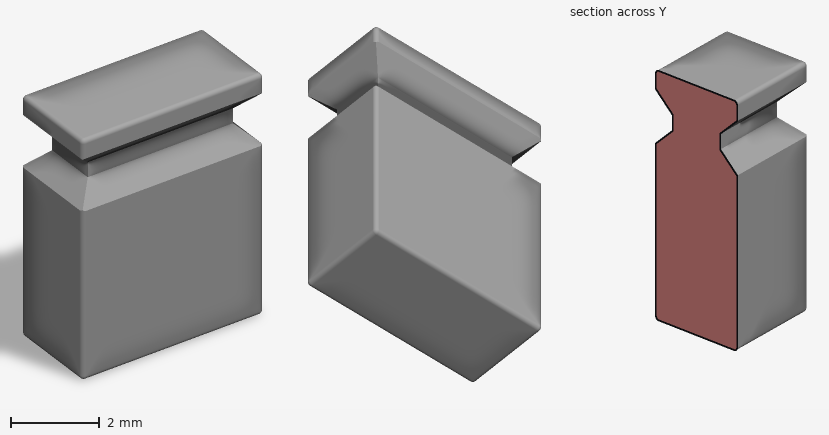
import cadquery as cq

width = 2.4
depth = 5.0
height = 6.4
edge_radius = 0.1

lip_height = 0.5
groove_depth = 0.5
neck_height = 0.4

groove_top = height - lip_height
neck_top = groove_top - groove_depth
neck_bottom = neck_top - neck_height
groove_bottom = neck_bottom - groove_depth
neck_width = width - 2 * groove_depth
neck_depth = depth - 2 * groove_depth


def rounded_block():
    """Block with every outer edge rounded."""
    block = cq.Workplane("XY").box(width, depth, height, centered=(True, True, False))
    return block.edges().fillet(edge_radius)


def slab(x_size, y_size, bottom, top):
    """Centred rectangular slab between two levels."""
    return (
        cq.Workplane("XY")
        .workplane(offset=bottom)
        .rect(x_size, y_size)
        .extrude(top - bottom)
    )


def flank(outer_level, neck_level):
    """Frustum from the full outline to the neck outline."""
    return (
        cq.Workplane("XY")
        .workplane(offset=outer_level)
        .rect(width, depth)
        .workplane(offset=neck_level - outer_level)
        .rect(neck_width, neck_depth)
        .loft(ruled=True)
    )


def groove_ring():
    """Material removed around the neck."""
    ring = slab(width, depth, groove_bottom, groove_top)
    ring = ring.cut(flank(groove_bottom, neck_bottom))
    ring = ring.cut(slab(neck_width, neck_depth, neck_bottom, neck_top))
    return ring.cut(flank(groove_top, neck_top))


result = rounded_block().cut(groove_ring())